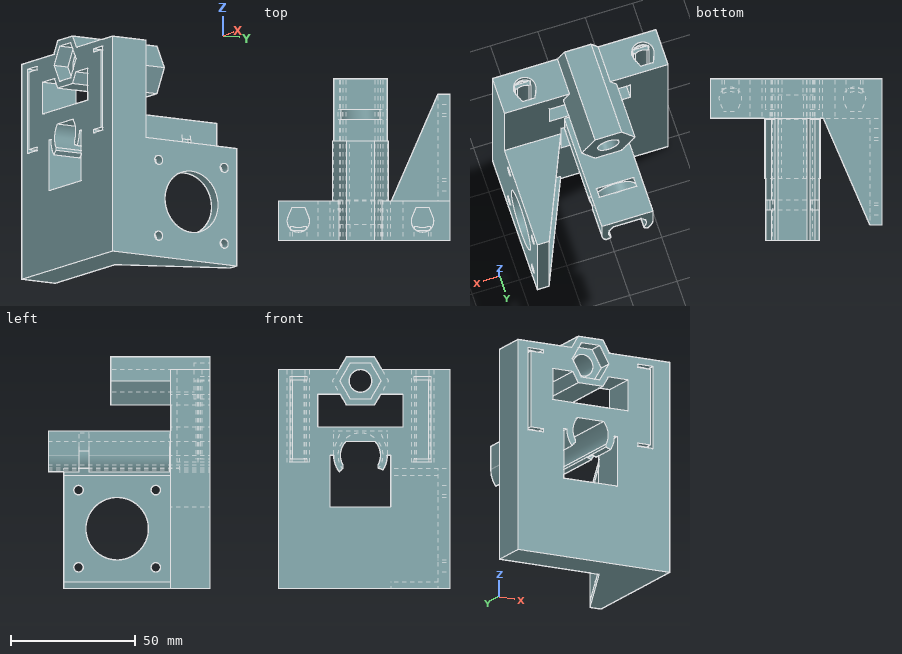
import cadquery as cq
import math


body_half_width = 33.0
body_depth = 15.9
body_height = 88.0
total_width = 69.04
right_side = total_width - body_half_width

total_height = 93.15
boss_corner_radius = 11.25
boss_length = 40.0
boss_z = total_height - boss_corner_radius * math.cos(math.pi / 6)
trap_corner_radius = 8.3
trap_depth = 6.5
screw_hole_radius = 4.5

upper_window_width = 34.1
upper_window_bottom = 65.0
upper_window_top = 78.0
lower_window_width = 24.3
lower_window_bottom = 32.8

holder_length = 65.0
holder_radius = 10.82
holder_z = 53.55
holder_top = 63.3
bearing_radius = 8.0
bearing_flat_z = 59.0
mouth_half_width = 6.95
mouth_corner_drop = 5.1
mouth_left_angle = 46.0
mouth_right_angle = 20.0

groove_inner_radius = 9.0
groove_outer_radius = 10.95
groove_width = 4.0
groove_starts = (12.3, 48.7)

teardrop_angle = math.radians(22.5)

rod_spacing = 49.85
rod_y = 7.85
rod_radius = 4.5
rod_flat_offset = 5.4
flap_slot_span = 6.9
flap_slot_bottom = 50.8
flap_slot_top = 85.2
flap_slot_height = 1.35
flap_slot_width = 1.15
flap_bar_depth = 4.0
pad_width = 6.5
pad_back_y = 5.75
pad_dip = 0.55
pad_shoulder = 0.8

motor_opening = 42.9
gusset_thickness = 2.62
bracket_height = motor_opening + 2 * gusset_thickness
bracket_back_y = body_depth + motor_opening
motor_plate_thickness = 5.0
gusset_start_x = 12.35
motor_y = body_depth + motor_opening / 2
motor_z = bracket_height / 2
motor_pilot_radius = 12.5
motor_screw_pitch = 31.0
motor_screw_radius = 1.85


def box(x0, x1, y0, y1, z0, z1):
    """Box between two opposite corners."""
    return cq.Workplane("XY").box(x1 - x0, y1 - y0, z1 - z0, centered=False).translate((x0, y0, z0))


def front_plane(z, y=0.0):
    """Sketch plane at the given Y, with local X along X and local Y along Z; extrude +Y with a minus."""
    return cq.Workplane("XZ", origin=(0, y, z))


def rod_y_cylinder(radius, z, y, length):
    """Cylinder parallel to Y."""
    return front_plane(z, y).circle(radius).extrude(-length)


def hexagon(corner_radius, length):
    """Hexagonal prism on the boss axis, with corners pointing along X."""
    return front_plane(boss_z).polygon(6, 2 * corner_radius).extrude(-length)


def teardrop(plane, radius, flat_offset):
    """Closed profile: a circle with tangent sides running up to a flat."""
    tangent_x = radius * math.cos(teardrop_angle)
    tangent_y = radius * math.sin(teardrop_angle)
    flat_half = (radius - flat_offset * math.sin(teardrop_angle)) / math.cos(teardrop_angle)
    return (
        plane.moveTo(-flat_half, flat_offset)
        .lineTo(-tangent_x, tangent_y)
        .threePointArc((0, -radius), (tangent_x, tangent_y))
        .lineTo(flat_half, flat_offset)
        .close()
    )


def make_body():
    """Upright slab with its two windows."""
    body = box(-body_half_width, right_side, 0, body_depth, 0, body_height)
    for width, bottom, top in (
        (upper_window_width, upper_window_bottom, upper_window_top),
        (lower_window_width, lower_window_bottom, holder_z),
    ):
        body = body.cut(box(-width / 2, width / 2, 0, body_depth, bottom, top))
    return body


def make_holder():
    """Solid holder: flat top and sides, round underneath, with the tie grooves cut around it."""
    half = holder_radius
    top_offset = holder_top - holder_z
    holder = (
        front_plane(holder_z)
        .moveTo(-half, top_offset)
        .lineTo(-half, 0)
        .threePointArc((0, -half), (half, 0))
        .lineTo(half, top_offset)
        .close()
        .extrude(-holder_length)
    )
    for start in groove_starts:
        ring = teardrop(front_plane(holder_z, start), groove_outer_radius, top_offset).extrude(-groove_width)
        core = rod_y_cylinder(groove_inner_radius, holder_z, start, groove_width)
        holder = holder.cut(ring.cut(core))
    return holder


def make_bearing_cut():
    """Bearing bore with a flat roof."""
    bore = rod_y_cylinder(bearing_radius, holder_z, 0, holder_length)
    roof = box(-bearing_radius, bearing_radius, 0, holder_length, bearing_flat_z, holder_z + bearing_radius)
    return bore.cut(roof)


def make_mouth_cut():
    """Snap-in opening under the bore, with flared lips."""
    reach = holder_radius
    flare = reach - mouth_half_width
    left_drop = mouth_corner_drop + flare * math.tan(math.radians(mouth_left_angle))
    right_drop = mouth_corner_drop + flare * math.tan(math.radians(mouth_right_angle))
    return (
        front_plane(holder_z)
        .polyline(
            [
                (-mouth_half_width, 0),
                (-mouth_half_width, -mouth_corner_drop),
                (-reach, -left_drop),
                (-reach, -2 * reach),
                (reach, -2 * reach),
                (reach, -right_drop),
                (mouth_half_width, -mouth_corner_drop),
                (mouth_half_width, 0),
            ]
        )
        .close()
        .extrude(-holder_length)
    )


def make_motor_bracket():
    """Motor plate flush with the right side, tied to the body by a gusset above and below."""
    plate_x = right_side - motor_plate_thickness
    bracket = (
        cq.Workplane("XY")
        .polyline(
            [
                (gusset_start_x, body_depth),
                (right_side, body_depth),
                (right_side, bracket_back_y),
                (plate_x, bracket_back_y),
            ]
        )
        .close()
        .extrude(bracket_height)
    )
    opening_top = bracket_height - gusset_thickness
    opening = box(gusset_start_x, plate_x, body_depth, bracket_back_y, gusset_thickness, opening_top)
    motor_face = cq.Workplane("YZ", origin=(plate_x, motor_y, motor_z))
    pilot = motor_face.circle(motor_pilot_radius).extrude(motor_plate_thickness)
    screws = (
        motor_face.rect(motor_screw_pitch, motor_screw_pitch, forConstruction=True)
        .vertices()
        .circle(motor_screw_radius)
        .extrude(motor_plate_thickness)
    )
    return bracket.cut(opening).cut(pilot).cut(screws)


def make_pad(x, z0, z1):
    """Pad on the inside of the flap that presses on the rod, with a hollowed back."""
    half = pad_width / 2
    hollow_half = half - pad_shoulder
    return (
        cq.Workplane("XY", origin=(x, pad_back_y, z0))
        .moveTo(-half, flap_bar_depth - pad_back_y)
        .lineTo(-half, 0)
        .lineTo(-hollow_half, 0)
        .threePointArc((0, -pad_dip), (hollow_half, 0))
        .lineTo(half, 0)
        .lineTo(half, flap_bar_depth - pad_back_y)
        .close()
        .extrude(z1 - z0)
    )


def add_rod_clamp(part, side):
    """Blind teardrop rod hole from the top, with slots around the flap; side is -1 (left) or +1 (right)."""
    x = side * rod_spacing / 2
    half = flap_slot_span / 2
    flap_bottom = flap_slot_bottom + flap_slot_height
    flap_top = flap_slot_top - flap_slot_height
    hole_plane = cq.Workplane("XY", origin=(x, rod_y, flap_slot_bottom))
    part = part.cut(teardrop(hole_plane, rod_radius, rod_flat_offset).extrude(body_height - flap_slot_bottom))
    part = part.union(make_pad(x, flap_bottom, flap_top))
    for z in (flap_slot_bottom, flap_top):
        part = part.cut(box(x - half, x + half, 0, rod_y, z, z + flap_slot_height))
    bar_x = x + side * (half - flap_slot_width / 2)
    bar_half = flap_slot_width / 2
    return part.cut(box(bar_x - bar_half, bar_x + bar_half, 0, flap_bar_depth, flap_bottom, flap_top))


part = make_body().union(make_holder().cut(make_mouth_cut()))
part = part.cut(make_bearing_cut())
part = part.union(hexagon(boss_corner_radius, boss_length))
part = part.cut(hexagon(trap_corner_radius, trap_depth))
part = part.cut(rod_y_cylinder(screw_hole_radius, boss_z, 0, boss_length))
part = part.union(make_motor_bracket())
for clamp_side in (-1, 1):
    part = add_rod_clamp(part, clamp_side)

result = part